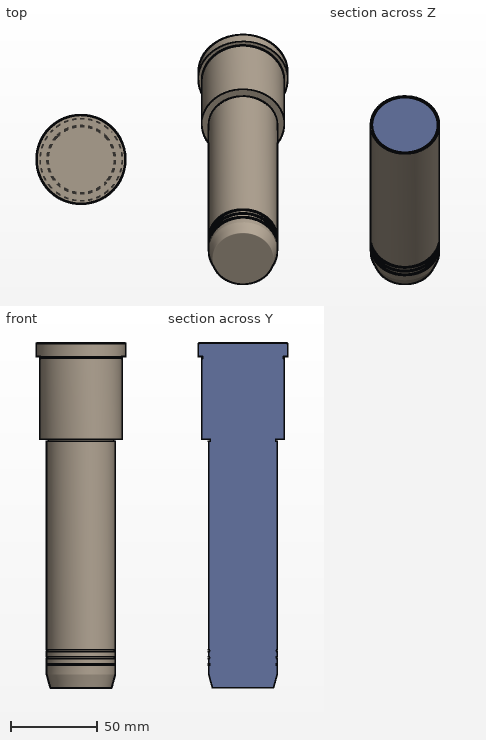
import cadquery as cq

total_length = 200.0
head_diameter = 52.0
head_height = 8.0
head_chamfer = 0.5

shoulder_diameter = 48.0
shoulder_end = 144.0
relief_height = 1.0
head_relief_depth = 0.5
shank_relief_depth = 1.0

shank_diameter = 40.0
tip_diameter = 35.5
taper_height = 8.0
tip_round = 0.5

groove_radius = 0.5
groove_pitch = 4.0
groove_count = 3
first_groove_height = 13.5


def cylinder(diameter, bottom, top):
    return cq.Workplane("XY").workplane(offset=bottom).circle(diameter / 2).extrude(top - bottom)


def ring_cut(diameter, depth, bottom, height):
    """Ring that cuts the given depth into a cylinder of the given diameter."""
    return cylinder(diameter + 2 * depth, bottom, bottom + height).cut(
        cylinder(diameter - 2 * depth, bottom, bottom + height)
    )


def round_groove(height):
    """Torus that cuts a half-round groove into the shank at the given height."""
    return cq.Workplane(
        cq.Solid.makeTorus(
            shank_diameter / 2,
            groove_radius,
            cq.Vector(0, 0, height),
            cq.Vector(0, 0, 1),
        )
    )


def make_tip():
    return (
        cq.Workplane("XY")
        .circle(tip_diameter / 2)
        .workplane(offset=taper_height)
        .circle(shank_diameter / 2)
        .loft(ruled=True)
        .faces("<Z")
        .edges()
        .fillet(tip_round)
    )


head_bottom = total_length - head_height
head = cylinder(head_diameter, head_bottom, total_length).faces(">Z").edges().chamfer(head_chamfer)
shoulder = cylinder(shoulder_diameter, shoulder_end, head_bottom)
shoulder = shoulder.cut(
    ring_cut(shoulder_diameter, head_relief_depth, head_bottom - relief_height, relief_height)
)

shank = cylinder(shank_diameter, taper_height, shoulder_end)
shank = shank.cut(ring_cut(shank_diameter, shank_relief_depth, shoulder_end - relief_height, relief_height))
for index in range(groove_count):
    shank = shank.cut(round_groove(first_groove_height + index * groove_pitch))

result = make_tip().union(shank).union(shoulder).union(head)